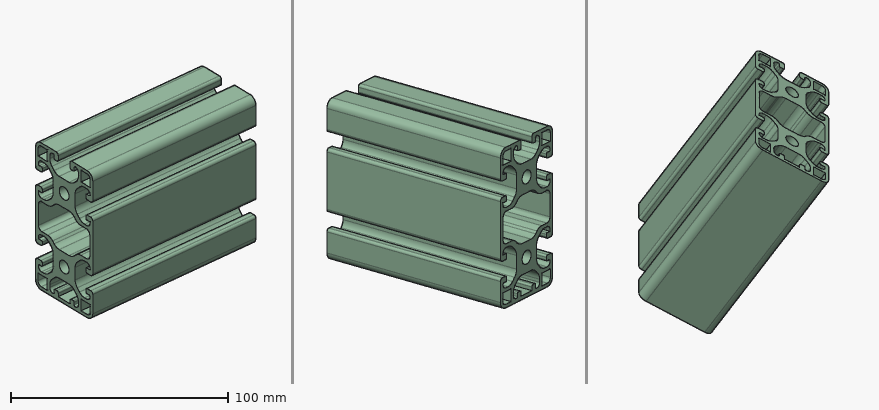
import cadquery as cq
import math

cell = 40.0
length = 100.0
half_cell = cell / 2
corner_radius = 4.0

mouth_half = 4.1
lip_back = 7.0
lip_depth = 4.8
lip_end = half_cell - lip_depth
face_wall = 2.0
roof = half_cell - face_wall
pocket_half = 10.0
floor = 7.7
floor_slope = 4.5
wall_radius = 5.0
cap_radius = 2.2

corner_lip = {"face": 1.4, "tip": 1.0, "back": 0.6, "nook": 0.7}
chamber_lip = {"face": 1.6, "tip": 1.1, "back": 0.6, "nook": 0.0}

bore_diameter = 6.8
hollow_inner = 11.8
outer_wall = 1.8
hollow_outer = half_cell - outer_wall
hollow_radius = corner_radius - outer_wall

chamber_half_width = 17.9
chamber_half_height = 12.1
chamber_side_half_height = 8.1
chamber_flat_half = 5.5
chamber_corner_radius = 2.3
chamber_bend_radius = 5.0


def prism(corners):
    """Extrude a closed outline of (x, z, radius) corners along the full length."""
    arcs = []
    for i, (x, z, radius) in enumerate(corners):
        before = corners[i - 1]
        after = corners[(i + 1) % len(corners)]
        to_before = cq.Vector(before[0] - x, before[1] - z).normalized()
        to_after = cq.Vector(after[0] - x, after[1] - z).normalized()
        corner = cq.Vector(x, z)
        half_angle = to_before.getAngle(to_after) / 2
        setback = radius / math.tan(half_angle)
        middle = (to_before + to_after).normalized() * (radius / math.sin(half_angle) - radius)
        arcs.append((corner + to_before * setback, corner + middle, corner + to_after * setback, radius))

    start = arcs[0][2]
    outline = cq.Workplane("XZ", origin=(0, length / 2, 0)).moveTo(start.x, start.y)
    for entry, middle, leave, radius in arcs[1:] + arcs[:1]:
        outline = outline.lineTo(entry.x, entry.y)
        if radius > 0:
            outline = outline.threePointArc((middle.x, middle.y), (leave.x, leave.y))
    return outline.close().extrude(length)


def half_slot(lip):
    """Corners (out, across, radius) of one slot half, from the lip tip to the slot floor."""
    return [
        (lip_end, mouth_half, lip["tip"]),
        (lip_end, lip_back, lip["back"]),
        (roof, lip_back, lip["nook"]),
        (roof, pocket_half, cap_radius),
        (floor + floor_slope, pocket_half, wall_radius),
        (floor, pocket_half - floor_slope, wall_radius),
    ]


def slot(first_lip, last_lip):
    """Corners of an open slot, running from the first lip (negative across) to the last."""
    first = [(half_cell, mouth_half, first_lip["face"])] + half_slot(first_lip)
    last = [(half_cell, mouth_half, last_lip["face"])] + half_slot(last_lip)
    return [(out, -across, radius) for out, across, radius in first] + last[::-1]


def place(corners, turn, cell_z):
    """Turn slot corners counter-clockwise about the centre of the cell at height cell_z."""
    c = round(math.cos(math.radians(turn)))
    s = round(math.sin(math.radians(turn)))
    return [(out * c - across * s, out * s + across * c + cell_z, r) for out, across, r in corners]


outline = (
    [(half_cell, -cell, corner_radius)]
    + place(slot(corner_lip, chamber_lip), 0, -half_cell)
    + place(slot(chamber_lip, corner_lip), 0, half_cell)
    + [(half_cell, cell, corner_radius)]
    + place(slot(corner_lip, corner_lip), 90, half_cell)
    + [(-half_cell, cell, corner_radius)]
    + place(slot(corner_lip, chamber_lip), 180, half_cell)
    + place(slot(chamber_lip, corner_lip), 180, -half_cell)
    + [(-half_cell, -cell, corner_radius)]
)
result = prism(outline)

closed_half = [(roof, mouth_half, 0)] + half_slot(corner_lip)
closed_slot = [(out, -across, radius) for out, across, radius in closed_half] + closed_half[::-1]
result = result.cut(prism(place(closed_slot, 270, -half_cell)))

chamber_slope = chamber_half_height - chamber_side_half_height
chamber_quarter = [
    (chamber_half_width, chamber_side_half_height, chamber_corner_radius),
    (chamber_flat_half + chamber_slope, chamber_side_half_height, chamber_bend_radius),
    (chamber_flat_half, chamber_half_height, chamber_bend_radius),
]
chamber_top = chamber_quarter + [(-x, z, radius) for x, z, radius in chamber_quarter[::-1]]
result = result.cut(prism(chamber_top + [(-x, -z, radius) for x, z, radius in chamber_top]))

for z_side in (-1, 1):
    bore = cq.Workplane("XZ", origin=(0, length / 2, z_side * half_cell))
    result = result.cut(bore.circle(bore_diameter / 2).extrude(length))
    for x_side in (-1, 1):
        hollow = [
            (x_side * out, z_side * (half_cell + up), radius)
            for out, up, radius in (
                (hollow_inner, hollow_inner, 0),
                (hollow_outer, hollow_inner, 0),
                (hollow_outer, hollow_outer, hollow_radius),
                (hollow_inner, hollow_outer, 0),
            )
        ]
        result = result.cut(prism(hollow))